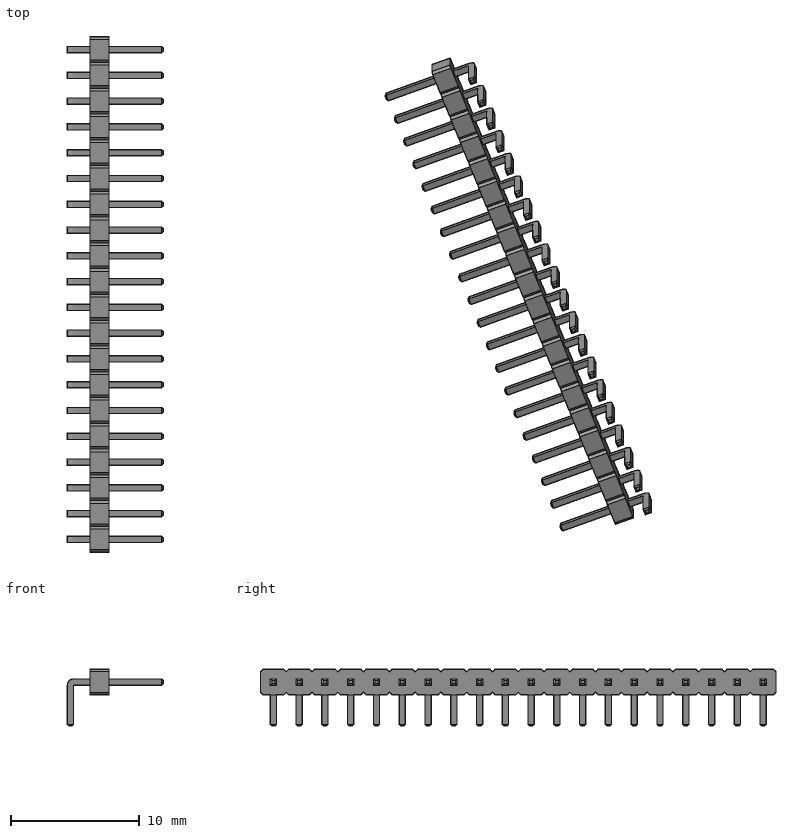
import cadquery as cq

pin_count = 20
pitch = 2.0

block_height = 2.0
block_width = 1.5
block_chamfer = 0.2
block_start = 1.75

pin_size = 0.5
pin_length = 7.45
pin_drop = 3.4
bend_outer_radius = 0.5
tip_chamfer = pin_size / 4

row_length = pin_count * pitch
pin_positions = [(i + 0.5) * pitch - row_length / 2 for i in range(pin_count)]


def make_block(y):
    """Housing block around one pin, its four X-direction edges chamfered."""
    return (
        cq.Workplane("XY")
        .box(block_width, pitch, block_height)
        .edges("|X")
        .chamfer(block_chamfer)
        .translate((block_start + block_width / 2, y, 0))
    )


def make_pin(y):
    """L-shaped pin: straight contact along +X, solder leg bent down to -Z."""
    half = pin_size / 2
    pin = (
        cq.Workplane("XZ")
        .moveTo(bend_outer_radius, half)
        .lineTo(pin_length, half)
        .lineTo(pin_length, -half)
        .lineTo(pin_size, -half)
        .lineTo(pin_size, -pin_drop)
        .lineTo(0, -pin_drop)
        .lineTo(0, half - bend_outer_radius)
        .radiusArc((bend_outer_radius, half), bend_outer_radius)
        .close()
        .extrude(half, both=True)
    )
    pin = pin.faces(">X").chamfer(tip_chamfer)
    pin = pin.faces("<Z").chamfer(tip_chamfer)
    return pin.translate((0, y, 0))


def make_header():
    """Join all blocks and pins into one solid."""
    header = make_block(pin_positions[0])
    for y in pin_positions[1:]:
        header = header.union(make_block(y))
    for y in pin_positions:
        header = header.union(make_pin(y))
    return header


result = make_header()